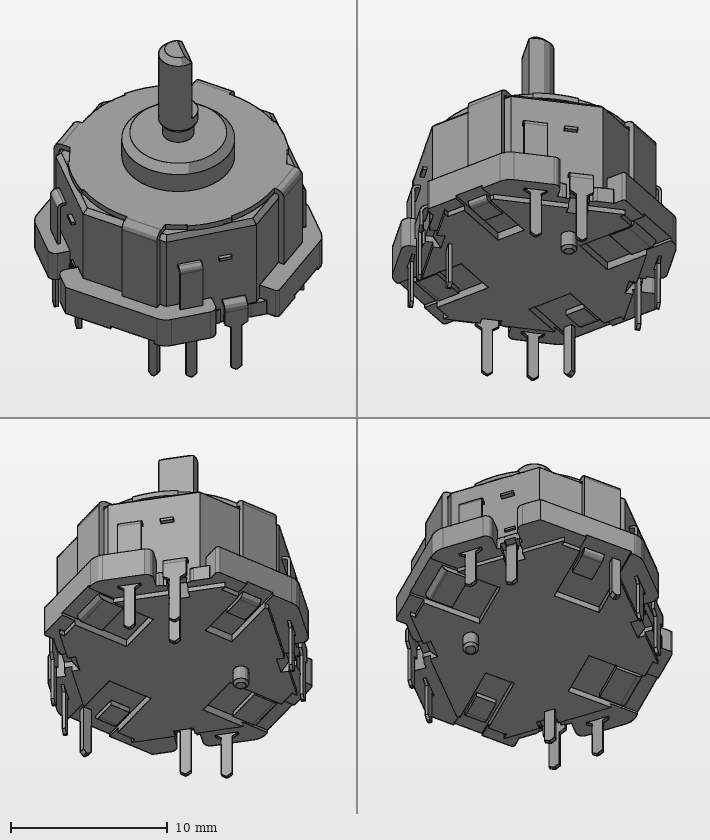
import cadquery as cq
import math


pin_tip_z = -3.22
base_step_z = 0.37
base_top_z = 1.46
ear_top_z = 2.54
body_top_z = 8.19
shaft_top_z = pin_tip_z + 20.62

body_half = 7.25
body_chamfer = 0.33
base_half = 7.35
base_diagonal_half = 7.77
plate_half = 6.76
plate_corner_half = 7.63
plate_corner_start = -1.57
pin_recess_y = (0.82, 2.15)
pin_recess_depth = 0.52
pin_recess_round = 0.47

ear_half = 8.6
ear_diagonal_end = 2.55
ear_overlap_half = 6.8
ear_corner_round = 1.2
ear_start_round = 0.5
ear_end_round = 0.2
front_back_ear_start = 0.16
left_right_ear_start = 0.02
long_ear_x = 1.85

sheet = 0.4
cover_top_z = body_top_z + sheet
cover_radius = 6.95
lobe_radius = 7.07
lobe_half_angle = 12.1
strap_width = 2.54
strap_outer = body_half + sheet
strap_bend = 0.58
strap_foot_z = 0.19
strap_foot_inner = 5.77
strap_pocket_inner = 3.71
strap_foot_bend = 0.41
foot_gap = 0.3
narrow_width = 1.38
narrow_top_z = 2.97
narrow_round = 0.29
ground_pin_width = 0.6

collar_radius = 3.6
collar_top_z = 10.5
collar_chamfer = 0.52
neck_diameter = 2.0
head_radius = 1.25
head_bottom_z = 11.45
head_chamfer_radial = 0.15
head_chamfer_height = 0.23
tip_chamfer = 0.4
flat_y = 0.58
flat_bottom_z = 12.4

terminal_sheet = 0.2
terminal_width = 1.53
terminal_mid = 1.48
pin_width = 0.7
pin_taper = 0.29
tip_height = 0.23
tip_flat = 0.12
upper_terminal_top = 5.85
upper_terminal_outer = 7.84
upper_terminal_shoulder = base_step_z
upper_terminal_bend = 0.4
lower_terminal_top = 2.23
lower_terminal_outer = 7.92
lower_terminal_shoulder = 0.6
lower_terminal_bend = 0.58
terminal_inner = 6.19
stub_width = 0.85
stub_mid = 0.89
stub_outer = 7.53

switch_pin_mid = 1.03
switch_sheet = 0.25
switch_front_outer = 7.1
switch_front_top = 1.07
switch_front_bend = 0.43
switch_back_outer = 5.88
switch_stub_outer = 7.38

slope_recess_width = 1.3
slope_recess_height = 0.82
slope_recess_run = 0.52

peg_x = -3.77
peg_y = -1.48
peg_diameter = 1.01
peg_bottom_z = -1.22
peg_chamfer = 0.19

right, back, left, front = 0, 90, 180, 270
quarter_turns = (right, back, left, front)
lower_terminal_turns = (right, back, left)
diagonal_turns = (45, 135, 225, 315)
back_left, front_right = 135, 315


def block(x, y, z):
    """Box between the two ends given for each axis."""
    size = (x[1] - x[0], y[1] - y[0], z[1] - z[0])
    return cq.Workplane("XY").box(*size, centered=False).translate((x[0], y[0], z[0]))


def turned(shape, angle):
    """Turn a side feature from +X to the side at this angle."""
    return shape.rotate((0, 0, 0), (0, 0, 1), angle)


def octagon(side_half, diagonal_half, z):
    """Prism with four axis-facing sides and four diagonal sides."""
    square = block((-side_half, side_half), (-side_half, side_half), z)
    diamond = block((-diagonal_half, diagonal_half), (-diagonal_half, diagonal_half), z)
    return square.intersect(turned(diamond, 45))


def on_diagonal(outward, along):
    """Point given by its place on the diagonal side that faces +X-Y."""
    return (outward + along) / math.sqrt(2), (along - outward) / math.sqrt(2)


def rounded(shape, point, radius):
    """Round the upright edge at this XY point."""
    z = (base_step_z + ear_top_z) / 2
    return shape.edges(cq.selectors.NearestToPointSelector((*point, z))).fillet(radius)


def ear(start_y, wraps=False):
    """Ear from +X round to the +X-Y diagonal, or on to the -Y side if it wraps."""
    corner_y = ear_half * math.tan(math.pi / 8)
    start = (ear_half, start_y)
    corner = (ear_half, -corner_y)
    if wraps:
        end = (long_ear_x, -ear_half)
        tail = [(corner_y, -ear_half), end, (long_ear_x, -ear_overlap_half)]
        end_round = ear_start_round
    else:
        end = on_diagonal(ear_half, -ear_diagonal_end)
        tail = [end, on_diagonal(ear_overlap_half, -ear_diagonal_end)]
        end_round = ear_end_round
    outline = [(ear_overlap_half, start_y), start, corner] + tail
    shape = cq.Workplane("XY").polyline(outline).close().extrude(ear_top_z - base_step_z)
    shape = shape.translate((0, 0, base_step_z))
    shape = rounded(shape, start, ear_start_round)
    shape = rounded(shape, corner, ear_corner_round)
    return rounded(shape, end, end_round)


def bent_strip(outer_x, inner_x, top_z, bottom_z, thickness, bend, y):
    """Strip with a horizontal leg on top, bent down at the outer end."""
    outline = [
        (inner_x, top_z),
        (outer_x, top_z),
        (outer_x, bottom_z),
        (outer_x - thickness, bottom_z),
        (outer_x - thickness, top_z - thickness),
        (inner_x, top_z - thickness),
    ]
    strip = cq.Workplane("XZ", origin=(0, y[0], 0)).polyline(outline).close().extrude(y[0] - y[1])
    for corner, radius in ((outline[1], bend), (outline[4], bend - thickness)):
        point = (corner[0], (y[0] + y[1]) / 2, corner[1])
        strip = strip.edges(cq.selectors.NearestToPointSelector(point)).fillet(radius)
    return strip


def pin_outline(mid_y, width, shoulder_z, top_z, depth, narrow=pin_width):
    """Pointed pin as a solid of this depth along X, widened above the shoulder."""
    half_pin = narrow / 2
    right_side = [
        (width / 2, top_z),
        (width / 2, shoulder_z),
        (half_pin, shoulder_z - pin_taper),
        (half_pin, pin_tip_z + tip_height),
        (tip_flat / 2, pin_tip_z),
    ]
    left_side = [(-y, z) for y, z in reversed(right_side)]
    plane = cq.Workplane("YZ", origin=(0, mid_y, 0))
    return plane.polyline(right_side + left_side).close().extrude(depth)


def terminal(mid_y, width, outer_x, top_z, shoulder_z, thickness, bend):
    """Bent terminal ending in a pointed pin."""
    y = (mid_y - width / 2, mid_y + width / 2)
    strip = bent_strip(outer_x, terminal_inner, top_z, pin_tip_z, thickness, bend, y)
    return strip.intersect(pin_outline(mid_y, width, shoulder_z, top_z, outer_x))


def pin_recess():
    """Cutter for the lower terminal's recess, flaring out in two rounded corners."""
    start, end = pin_recess_y
    size = pin_recess_round
    round_x = base_half - size
    floor_x = base_half - pin_recess_depth
    outline = cq.Workplane("XY").moveTo(ear_half, start - size).lineTo(base_half, start - size)
    outline = outline.radiusArc((round_x, start), -size).lineTo(floor_x, start)
    outline = outline.lineTo(floor_x, end).lineTo(round_x, end)
    outline = outline.radiusArc((base_half, end + size), -size).lineTo(ear_half, end + size)
    return outline.close().extrude(base_top_z)


def slope_recess(mid_y):
    """Cutter for a recess that slopes inward and down to the seating plane."""
    outline = [
        (ear_half, 0),
        (plate_half - slope_recess_run, 0),
        (plate_half, slope_recess_height),
        (ear_half, slope_recess_height),
    ]
    profile = cq.Workplane("XZ", origin=(0, mid_y, 0)).polyline(outline).close()
    return profile.extrude(slope_recess_width / 2, both=True)


def strap(width_at_foot, full_bottom_z):
    """Cover strap: top arm, wall down the body and foot folded under the base.

    The wall has its full width down to full_bottom_z.
    """
    wall_bottom_z = strap_foot_z + sheet
    y = (0, strap_width)
    upper = bent_strip(strap_outer, 0, cover_top_z, full_bottom_z, sheet, strap_bend, y)
    if width_at_foot < strap_width:
        corner = ((body_half + strap_outer) / 2, strap_width, full_bottom_z)
        upper = upper.edges(cq.selectors.NearestToPointSelector(corner)).fillet(narrow_round)
    wall_x = (body_half, strap_outer)
    wall = block(wall_x, (0, width_at_foot), (strap_foot_z, full_bottom_z))
    foot_z = (strap_foot_z, wall_bottom_z)
    foot = block((strap_foot_inner, strap_outer), (0, width_at_foot), foot_z)
    lower = wall.union(foot).edges("|Y").edges(">X and <Z").fillet(strap_foot_bend)
    return upper.union(lower)


body = octagon(body_half, body_half, (base_step_z, body_top_z))
body = body.faces(">Z").chamfer(body_chamfer)
base = octagon(base_half, base_diagonal_half, (base_step_z, base_top_z))
for angle in lower_terminal_turns:
    base = base.cut(turned(pin_recess(), angle))
plate = block((-plate_half, plate_half), (-plate_half, plate_half), (0, base_step_z))
corner_y = (plate_corner_start, plate_half)
plate_corner = block((plate_corner_half, 2 * plate_half), corner_y, (0, base_step_z))
for angle in diagonal_turns:
    plate = plate.cut(turned(plate_corner, angle))
result = body.union(base).union(plate)

for angle in lower_terminal_turns:
    result = result.cut(turned(slope_recess(terminal_mid), angle))

for angle in (back, front):
    result = result.union(turned(ear(front_back_ear_start), angle))
result = result.union(turned(ear(left_right_ear_start), left))
result = result.union(turned(ear(left_right_ear_start, wraps=True), right))

for angle in diagonal_turns:
    foot_width = narrow_width if angle in (back_left, front_right) else strap_width
    pocket_width = narrow_width if angle == back_left else strap_width
    full_bottom_z = narrow_top_z if angle == back_left else base_top_z
    pocket_y = (-foot_gap, pocket_width + foot_gap)
    pocket = block((strap_pocket_inner, ear_half), pocket_y, (0, strap_foot_z + sheet))
    result = result.cut(turned(pocket, angle))
    result = result.union(turned(strap(foot_width, full_bottom_z), angle))

ground_pin = pin_outline(
    strap_width - ground_pin_width / 2, ground_pin_width, base_step_z, ear_top_z,
    strap_outer, ground_pin_width,
)
ground_pin_span = block((body_half, strap_outer), (0, strap_width), (pin_tip_z, ear_top_z))
result = result.union(turned(ground_pin.intersect(ground_pin_span), front_right))

cover = cq.Workplane("XY", origin=(0, 0, body_top_z)).circle(cover_radius).extrude(sheet)
lobe_half_width = lobe_radius * math.sin(math.radians(lobe_half_angle))
lobe_bar = block((0, lobe_radius), (-lobe_half_width, lobe_half_width), (body_top_z, cover_top_z))
lobe_disc = cq.Workplane("XY", origin=(0, 0, body_top_z)).circle(lobe_radius).extrude(sheet)
lobe = lobe_disc.intersect(lobe_bar)
for angle in quarter_turns:
    cover = cover.union(turned(lobe, angle))
result = result.union(cover)

collar = cq.Workplane("XY", origin=(0, 0, body_top_z)).circle(collar_radius)
collar = collar.extrude(collar_top_z - body_top_z).faces(">Z").chamfer(collar_chamfer)
result = result.union(collar)

neck = cq.Workplane("XY", origin=(0, 0, body_top_z)).circle(neck_diameter / 2)
neck = neck.extrude(head_bottom_z - body_top_z)
head = cq.Workplane("XY", origin=(0, 0, head_bottom_z)).circle(head_radius)
head = head.extrude(shaft_top_z - head_bottom_z)
head = head.faces("<Z").chamfer(head_chamfer_height, head_chamfer_radial)
across = (-head_radius, head_radius)
head = head.cut(block(across, (flat_y, head_radius), (flat_bottom_z, shaft_top_z)))
head = head.faces(">Z").chamfer(tip_chamfer)
result = result.union(neck).union(head)

upper_terminal = terminal(
    -terminal_mid, terminal_width, upper_terminal_outer, upper_terminal_top,
    upper_terminal_shoulder, terminal_sheet, upper_terminal_bend,
)
lower_terminal = terminal(
    terminal_mid, terminal_width, lower_terminal_outer, lower_terminal_top,
    lower_terminal_shoulder, terminal_sheet, lower_terminal_bend,
)
stub_y = (stub_mid - stub_width / 2, stub_mid + stub_width / 2)
stub_z = (upper_terminal_top - terminal_sheet, upper_terminal_top)
stub = block((terminal_inner, stub_outer), stub_y, stub_z)
for angle in quarter_turns:
    result = result.union(turned(upper_terminal, angle)).union(turned(stub, angle))
for angle in lower_terminal_turns:
    result = result.union(turned(lower_terminal, angle))

switch_y = (switch_pin_mid - pin_width / 2, switch_pin_mid + pin_width / 2)
pin_slot = block((switch_front_outer - switch_front_bend, ear_half), switch_y, (0, switch_front_top))
switch_pin = terminal(
    switch_pin_mid, pin_width, switch_front_outer, switch_front_top,
    base_step_z, switch_sheet, switch_front_bend,
)
switch_stub_z = (lower_terminal_top - terminal_sheet, lower_terminal_top)
switch_stub = block((terminal_inner, switch_stub_outer), switch_y, switch_stub_z)
result = result.cut(turned(slope_recess(switch_pin_mid).union(pin_slot), front))
result = result.union(turned(switch_pin, front)).union(turned(switch_stub, front))

back_pin = pin_outline(switch_pin_mid, pin_width, base_step_z, base_top_z, switch_back_outer)
back_pin_x = (switch_back_outer - switch_sheet, switch_back_outer)
back_pin = back_pin.intersect(block(back_pin_x, switch_y, (pin_tip_z, base_top_z)))
result = result.union(turned(back_pin, back))

peg = cq.Workplane("XY", origin=(peg_x, peg_y, peg_bottom_z)).circle(peg_diameter / 2)
peg = peg.extrude(base_step_z - peg_bottom_z).faces("<Z").chamfer(peg_chamfer)
result = result.union(peg)